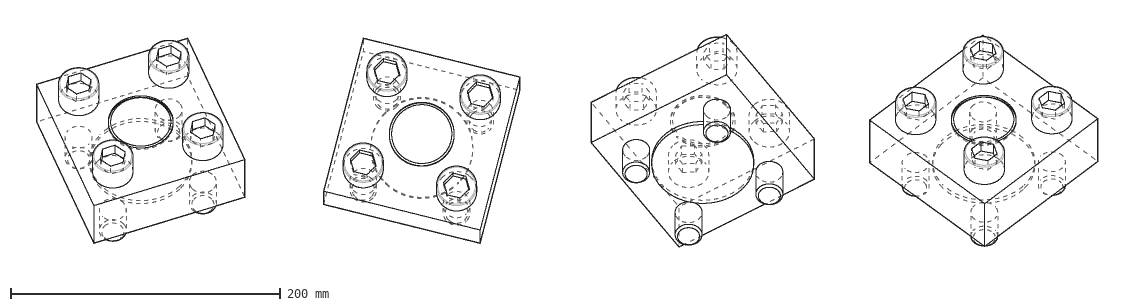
import cadquery as cq
import math

block_side = 120.0
block_height = 47.0

spigot_diameter = 76.0
spigot_height = 3.6

groove_outer_diameter = 48.2
groove_inner_diameter = 44.8
groove_depth = (groove_outer_diameter - groove_inner_diameter) / 2

screw_spacing = 71.5
head_diameter = 30.0
head_height = 20.0
head_fillet = 1.0
shank_diameter = 20.0
shank_projection = 28.0
shank_chamfer = 1.8
socket_across_flats = 17.0
socket_depth = 10.0


def make_block():
    """Square block with its underside at Z = 0 and a round spigot below."""
    block = cq.Workplane("XY").box(block_side, block_side, block_height, centered=(True, True, False))
    spigot = cq.Workplane("XY").circle(spigot_diameter / 2).extrude(-spigot_height)
    return block.union(spigot)


def make_groove():
    """Ring with an upright outer wall and an inner wall that slopes down outward at 45 degrees."""
    inner_radius = groove_inner_diameter / 2
    outer_radius = groove_outer_diameter / 2
    return (
        cq.Workplane("XZ")
        .moveTo(inner_radius, block_height)
        .lineTo(outer_radius, block_height)
        .lineTo(outer_radius, block_height - groove_depth)
        .close()
        .revolve(360, (0, 0, 0), (0, 1, 0))
    )


def make_screw():
    """Screw on the Z axis, with its head seated on the block."""
    head = (
        cq.Workplane("XY", origin=(0, 0, block_height))
        .circle(head_diameter / 2)
        .extrude(head_height)
        .faces(">Z")
        .edges()
        .fillet(head_fillet)
    )
    shank = (
        cq.Workplane("XY", origin=(0, 0, -shank_projection))
        .circle(shank_diameter / 2)
        .extrude(shank_projection + block_height)
        .faces("<Z")
        .edges()
        .chamfer(shank_chamfer)
    )
    socket_corner_diameter = socket_across_flats / math.cos(math.radians(30))
    socket = (
        cq.Workplane("XY", origin=(0, 0, block_height + head_height - socket_depth))
        .transformed(rotate=(0, 0, 90))
        .polygon(6, socket_corner_diameter)
        .extrude(socket_depth)
    )
    return head.union(shank).cut(socket)


result = make_block().cut(make_groove())
screw = make_screw()
for x_side in (-1, 1):
    for y_side in (-1, 1):
        screw_position = (x_side * screw_spacing / 2, y_side * screw_spacing / 2, 0)
        result = result.union(screw.translate(screw_position))